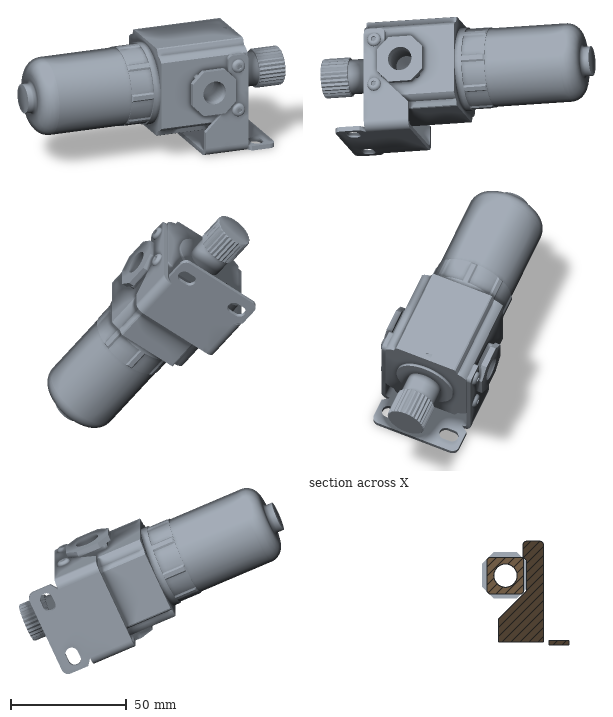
import cadquery as cq
import math


block_top_y = 17.0
block_bottom_y = -23.0
block_half_width = 19.0
block_half_height = 20.0
side_face_half_height = 15.0
shoulder_x = 15.0
shoulder_z = 17.2
shoulder_bulge = 0.35
pad_half_width = 13.95
pad_chamfer_width = 0.6
pad_chamfer_height = 0.3

port_face_x = 23.5
boss_across_flats = 20.0
boss_corner_chamfer = 5.0
neck_width = 16.0
neck_corner_chamfer = 1.0
port_diameter = 8.8
port_mouth_diameter = 10.4
port_depth = 12.0
drill_tip_half_angle = 59.0

arrow_length = 3.3
arrow_half_width = 1.1
arrow_tail_x = -1.7
arrow_y = 14.5
arrow_depth = 0.2

bezel_radius = 13.2
bezel_top_y = 18.2
stem_radius = 7.5
knob_start_y = 27.0
knob_end_y = 39.0
knob_radius = 8.55
knob_end_chamfer = 0.4
knob_tooth_count = 28
knob_tooth_height = 0.55

collar_ring_radius = 18.0
collar_ring_end_y = -26.0
collar_radius = 17.3
collar_end_y = -36.0
bowl_radius = 17.0
bowl_end_y = -76.0
bowl_end_fillet = 6.5
drain_radius = 6.4
drain_root_fillet = 1.0
drain_end_y = -79.8
rib_count = 8
rib_top_radius = 17.9
rib_top_half_width = 1.0
rib_root_radius = 16.5

sheet = 2.0
bracket_inner_x = block_half_width
bracket_outer_x = bracket_inner_x + sheet
bracket_bottom_z = -30.0
bend_inner_radius = 2.0
bend_outer_radius = bend_inner_radius + sheet
leg_back_y = 16.6
leg_front_y = -3.1
leg_top_z = 15.0
leg_top_front_y = 7.4
leg_corner_fillet = 2.0
leg_waist_y = 9.0
boss_diagonal_reach = boss_across_flats - boss_corner_chamfer
bracket_diagonal_reach = boss_diagonal_reach + 0.6
tab_half_width = 20.0
tab_end_y = 30.0
tab_end_fillet = 3.0
tab_flare_y = 18.8
slot_x = 13.5
slot_y = 23.0
slot_length = 8.5
slot_width = 5.5

screw_y = 12.0
screw_z = 10.0
screw_head_radius = 3.0
screw_head_height = 1.5
screw_head_flat_radius = 1.2
socket_depth = 0.8


def cylinder_y(radius, y_start, y_end):
    """Solid cylinder on the Y axis."""
    return cq.Workplane("XZ", origin=(0, y_start, 0)).circle(radius).extrude(y_start - y_end)


def block():
    """Block with a slope-sided, chamfered pad above and below and rounded shoulders beside each pad."""
    shoulder_mid_x = (shoulder_x + block_half_width) / 2 + shoulder_bulge / 2
    shoulder_mid_z = (shoulder_z + side_face_half_height) / 2 + shoulder_bulge
    quarter = (
        cq.Workplane("XZ", origin=(0, block_top_y, 0))
        .lineTo(block_half_width, 0)
        .lineTo(block_half_width, side_face_half_height)
        .threePointArc((shoulder_mid_x, shoulder_mid_z), (shoulder_x, shoulder_z))
        .lineTo(pad_half_width, block_half_height - pad_chamfer_height)
        .lineTo(pad_half_width - pad_chamfer_width, block_half_height)
        .lineTo(0, block_half_height)
        .close()
        .extrude(block_top_y - block_bottom_y)
    )
    half = quarter.union(quarter.mirror("YZ"))
    return half.union(half.mirror("XY")).clean()


def port_boss():
    """Octagonal boss on a narrower neck, on the -X side."""
    neck = (
        cq.Workplane("YZ", origin=(-bracket_outer_x, 0, 0))
        .rect(neck_width, neck_width)
        .extrude(sheet)
        .edges("|X")
        .chamfer(neck_corner_chamfer)
    )
    octagon = (
        cq.Workplane("YZ", origin=(-port_face_x, 0, 0))
        .rect(boss_across_flats, boss_across_flats)
        .extrude(port_face_x - bracket_outer_x)
        .edges("|X")
        .chamfer(boss_corner_chamfer)
    )
    return neck.union(octagon)


def port_hole():
    """Blind tapered hole with a drill point, entering from -X."""
    radius = port_diameter / 2
    hole_end_x = -port_face_x + port_depth
    tip_x = hole_end_x + radius / math.tan(math.radians(drill_tip_half_angle))
    return (
        cq.Workplane("XY")
        .moveTo(-port_face_x, 0)
        .lineTo(-port_face_x, port_mouth_diameter / 2)
        .lineTo(hole_end_x, radius)
        .lineTo(tip_x, 0)
        .close()
        .revolve(360, (0, 0, 0), (1, 0, 0))
    )


def flow_arrow():
    """Triangle that points along +X, sunk into the top pad."""
    return (
        cq.Workplane("XY", origin=(0, arrow_y, block_half_height - arrow_depth))
        .moveTo(arrow_tail_x, arrow_half_width)
        .lineTo(arrow_tail_x + arrow_length, 0)
        .lineTo(arrow_tail_x, -arrow_half_width)
        .close()
        .extrude(arrow_depth)
    )


def knob():
    """Knob with V-shaped teeth all round and chamfered ends."""
    half_pitch = math.pi / knob_tooth_count
    outline = []
    for index in range(2 * knob_tooth_count):
        radius = knob_radius - knob_tooth_height * (index % 2)
        angle = index * half_pitch
        outline.append((radius * math.cos(angle), radius * math.sin(angle)))
    toothed_bar = (
        cq.Workplane("XZ", origin=(0, knob_end_y, 0))
        .polyline(outline)
        .close()
        .extrude(knob_end_y - knob_start_y)
    )
    envelope = cylinder_y(knob_radius, knob_end_y, knob_start_y).faces("<Y or >Y").chamfer(knob_end_chamfer)
    return toothed_bar.intersect(envelope)


def make_housing():
    """Block, two ports, bezel, stem and knob in one solid."""
    boss = port_boss()
    hole = port_hole()
    return (
        block()
        .union(boss)
        .union(boss.mirror("YZ"))
        .union(cylinder_y(bezel_radius, bezel_top_y, block_top_y))
        .union(cylinder_y(stem_radius, knob_start_y, block_top_y))
        .union(knob())
        .cut(hole)
        .cut(hole.mirror("YZ"))
        .cut(flow_arrow())
    )


def collar_rib():
    """Collar rib at +Z with 45 degree flanks and a 45 degree bevel at its lower end."""
    height = rib_top_radius - rib_root_radius
    root_half_width = rib_top_half_width + height
    rib = (
        cq.Workplane("XZ", origin=(0, collar_ring_end_y, 0))
        .moveTo(-root_half_width, rib_root_radius)
        .lineTo(-rib_top_half_width, rib_top_radius)
        .lineTo(rib_top_half_width, rib_top_radius)
        .lineTo(root_half_width, rib_root_radius)
        .close()
        .extrude(collar_ring_end_y - collar_end_y)
    )
    bevel = rib_top_radius - collar_radius
    bevel_cut = (
        cq.Workplane("YZ", origin=(-root_half_width, 0, 0))
        .moveTo(collar_end_y, collar_radius)
        .lineTo(collar_end_y + bevel, rib_top_radius)
        .lineTo(collar_end_y, rib_top_radius)
        .close()
        .extrude(2 * root_half_width)
    )
    return rib.cut(bevel_cut)


def make_bowl():
    """Bowl turned about Y, with a ribbed collar at the top and a drain at the end."""
    fillet_mid = bowl_end_fillet * (1 - math.sqrt(0.5))
    root_mid = drain_root_fillet * (1 - math.sqrt(0.5))
    bowl = (
        cq.Workplane("XY")
        .moveTo(0, block_bottom_y)
        .lineTo(collar_ring_radius, block_bottom_y)
        .lineTo(collar_ring_radius, collar_ring_end_y)
        .lineTo(collar_radius, collar_ring_end_y)
        .lineTo(collar_radius, collar_end_y)
        .lineTo(bowl_radius, collar_end_y)
        .lineTo(bowl_radius, bowl_end_y + bowl_end_fillet)
        .threePointArc(
            (bowl_radius - fillet_mid, bowl_end_y + fillet_mid),
            (bowl_radius - bowl_end_fillet, bowl_end_y),
        )
        .lineTo(drain_radius + drain_root_fillet, bowl_end_y)
        .threePointArc(
            (drain_radius + root_mid, bowl_end_y - root_mid),
            (drain_radius, bowl_end_y - drain_root_fillet),
        )
        .lineTo(drain_radius, drain_end_y)
        .lineTo(0, drain_end_y)
        .close()
        .revolve(360, (0, 0, 0), (0, 1, 0))
    )
    rib = collar_rib()
    for index in range(rib_count):
        bowl = bowl.union(rib.rotate((0, 0, 0), (0, 1, 0), index * 360 / rib_count))
    return bowl


def bent_sheet():
    """U-shaped sheet: a base and two full-width legs joined by round bends."""
    height = leg_top_z - bracket_bottom_z
    center_z = (leg_top_z + bracket_bottom_z) / 2

    def rounded_bar(half_width, floor_z, radius):
        return (
            cq.Workplane("XZ", origin=(0, leg_back_y, center_z + floor_z / 2))
            .rect(2 * half_width, height - floor_z)
            .extrude(leg_back_y - leg_front_y)
            .edges("|Y and <Z")
            .fillet(radius)
        )

    outside = rounded_bar(bracket_outer_x, 0, bend_outer_radius)
    inside = rounded_bar(bracket_inner_x, sheet, bend_inner_radius)
    return outside.cut(inside)


def leg_profile():
    """Side outline of the legs, which clears the port necks, as a bar right across X."""
    shoulder_front_z = bracket_diagonal_reach - leg_top_front_y
    waist_z = bracket_diagonal_reach - leg_waist_y
    knee_z = leg_front_y - bracket_diagonal_reach
    return (
        cq.Workplane("YZ", origin=(-bracket_outer_x, 0, 0))
        .moveTo(leg_back_y, bracket_bottom_z)
        .lineTo(leg_back_y, leg_top_z)
        .lineTo(leg_top_front_y, leg_top_z)
        .lineTo(leg_top_front_y, shoulder_front_z)
        .lineTo(leg_waist_y, waist_z)
        .lineTo(leg_waist_y, -waist_z)
        .lineTo(leg_front_y, knee_z)
        .lineTo(leg_front_y, bracket_bottom_z)
        .close()
        .extrude(2 * bracket_outer_x)
        .edges("|X and >Z")
        .fillet(leg_corner_fillet)
    )


def mounting_tab():
    """Flat slotted tab that continues the bracket base toward +Y."""
    root_half_width = bracket_outer_x - bend_outer_radius
    return (
        cq.Workplane("XY", origin=(0, 0, bracket_bottom_z))
        .moveTo(-root_half_width, leg_back_y)
        .lineTo(-tab_half_width, tab_flare_y)
        .lineTo(-tab_half_width, tab_end_y)
        .lineTo(tab_half_width, tab_end_y)
        .lineTo(tab_half_width, tab_flare_y)
        .lineTo(root_half_width, leg_back_y)
        .close()
        .extrude(sheet)
        .edges("|Z and >Y")
        .fillet(tab_end_fillet)
        .faces("<Z")
        .workplane(origin=(0, 0, bracket_bottom_z))
        .pushPoints([(-slot_x, -slot_y), (slot_x, -slot_y)])
        .slot2D(slot_length, slot_width)
        .cutThruAll()
    )


def make_bracket():
    """Bent sheet trimmed to the leg outline, with its mounting tab."""
    return bent_sheet().intersect(leg_profile()).union(mounting_tab())


def make_screw(side, z):
    """Domed screw head with a hexagon socket, seated on the outside of a bracket leg."""
    dome_run = screw_head_radius - screw_head_flat_radius
    dome_radius = (dome_run**2 + screw_head_height**2) / (2 * dome_run)
    dome_center_r = screw_head_radius - dome_radius
    dome_mid_angle = math.atan2(screw_head_height, screw_head_flat_radius - dome_center_r) / 2
    dome_mid_r = dome_center_r + dome_radius * math.cos(dome_mid_angle)
    dome_mid_height = dome_radius * math.sin(dome_mid_angle)
    screw = (
        cq.Workplane("XY")
        .lineTo(0, screw_head_radius)
        .threePointArc((dome_mid_height, dome_mid_r), (screw_head_height, screw_head_flat_radius))
        .lineTo(screw_head_height, 0)
        .close()
        .revolve(360, (0, 0, 0), (1, 0, 0))
    )
    socket = (
        cq.Workplane("YZ", origin=(screw_head_height - socket_depth, 0, 0))
        .polygon(6, 2 * screw_head_flat_radius)
        .extrude(2 * socket_depth)
        .rotate((0, 0, 0), (1, 0, 0), 90)
    )
    screw = screw.cut(socket)
    if side < 0:
        screw = screw.mirror("YZ")
    return screw.translate((side * bracket_outer_x, screw_y, z))


housing = make_housing()
bowl = make_bowl()
bracket = make_bracket()
screws = [make_screw(side, z).val() for side in (-1, 1) for z in (-screw_z, screw_z)]

result = cq.Compound.makeCompound([housing.val(), bowl.val(), bracket.val(), *screws])